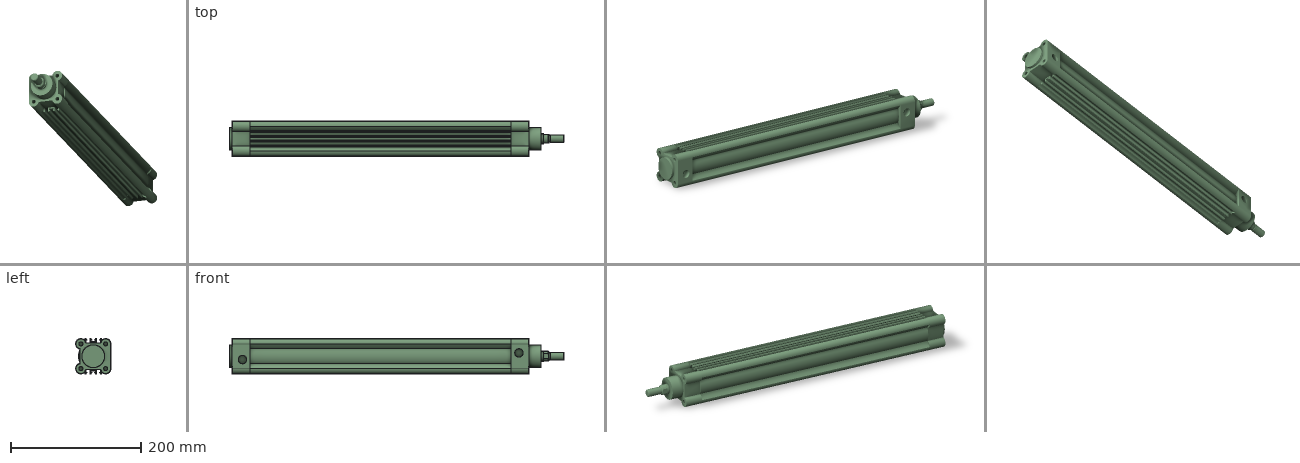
import cadquery as cq
import math


total_length = 513.0
rear_collar_length = 4.0
cap_length = 27.5
barrel_length = 399.5
front_collar_length = 18.5
rod_shoulder_length = 3.5
rod_flat_length = 7.0
rod_taper_length = 1.5
thread_relief_length = 2.0

rear_cap_start = rear_collar_length
barrel_start = rear_cap_start + cap_length
front_cap_start = barrel_start + barrel_length
front_cap_end = front_cap_start + cap_length
rod_start = front_cap_end + front_collar_length
rod_flat_start = rod_start + rod_shoulder_length
rod_flat_end = rod_flat_start + rod_flat_length
rod_taper_end = rod_flat_end + rod_taper_length
thread_start = rod_taper_end + thread_relief_length

body_width = 54.0
half_width = body_width / 2
screw_offset = 19.0
lobe_radius = half_width - screw_offset
recess_offset = 20.5
collar_diameter = 35.0
screw_hole_diameter = 6.0
screw_hole_depth = 15.5

port_diameter = 13.0
port_depth = 13.0
rear_port_inset = 16.0
front_port_inset = 15.5
port_height = 5.0

barrel_radius = 22.5
slot_floor_height = 19.5
ribs_per_half = 2
rib_pitch = 7.5
rib_outer = 5.0
rib_inner = 3.5
rib_barb_tip = 2.0
rib_barb_height = 25.0
rib_neck_height = 24.0

rod_diameter = 16.0
wrench_diameter = 15.5
rod_across_flats = 13.5
thread_diameter = 12.0
thread_relief_diameter = 11.0
thread_chamfer = 1.0

corners = [(y, z) for y in (-screw_offset, screw_offset) for z in (-screw_offset, screw_offset)]


def plane_at(x):
    """Cross-section plane at x: its local axes are Y and Z, and it faces +X."""
    return cq.Workplane("YZ", origin=(x, 0, 0))


def cap_block(start):
    """Square cap with round corner lobes, recessed between the lobes on every side except -Y."""
    lobes = plane_at(start).pushPoints(corners).circle(lobe_radius).extrude(cap_length)
    core = plane_at(start).rect(2 * recess_offset, 2 * recess_offset).extrude(cap_length)
    port_side = (
        plane_at(start)
        .center(-(half_width + screw_offset) / 2, 0)
        .rect(lobe_radius, 2 * screw_offset)
        .extrude(cap_length)
    )
    return core.union(lobes).union(port_side)


def drill_screw_holes(cap, outer_face_x, inward):
    """Cut the four blind fastening holes; inward is +1 or -1 along X."""
    holes = (
        plane_at(outer_face_x)
        .pushPoints(corners)
        .circle(screw_hole_diameter / 2)
        .extrude(inward * screw_hole_depth)
    )
    return cap.cut(holes)


def drill_port(cap, x, z):
    """Cut a blind air port into the -Y side."""
    port = (
        cq.Workplane("XZ", origin=(x, -half_width, z))
        .circle(port_diameter / 2)
        .extrude(-port_depth)
    )
    return cap.cut(port)


def make_rear_cap():
    cap = cap_block(rear_cap_start)
    collar = plane_at(0).circle(collar_diameter / 2).extrude(rear_collar_length)
    cap = drill_screw_holes(cap.union(collar), rear_cap_start, 1)
    return drill_port(cap, rear_cap_start + rear_port_inset, -port_height)


def make_front_cap():
    cap = cap_block(front_cap_start)
    collar = plane_at(front_cap_end).circle(collar_diameter / 2).extrude(front_collar_length)
    cap = drill_screw_holes(cap.union(collar), front_cap_end, -1)
    return drill_port(cap, front_cap_end - front_port_inset, port_height)


def corner_rail():
    """Rail at the +Y +Z corner: rounded outside, with 45 degree flanks running in to the barrel."""
    arc_middle = screw_offset + lobe_radius * math.sqrt(0.5)
    return (
        plane_at(barrel_start)
        .moveTo(lobe_radius, 0)
        .lineTo(screw_offset + lobe_radius, screw_offset)
        .threePointArc((arc_middle, arc_middle), (screw_offset, half_width))
        .lineTo(0, lobe_radius)
        .close()
        .extrude(barrel_length)
    )


def sensor_rib(index):
    """Thin rib on the +Y half of the top, with a barb pointing towards the middle."""
    shift = index * rib_pitch
    return (
        plane_at(barrel_start)
        .moveTo(shift + rib_outer, 0)
        .lineTo(shift + rib_outer, half_width)
        .lineTo(shift + rib_inner, half_width)
        .lineTo(shift + rib_barb_tip, rib_barb_height)
        .lineTo(shift + rib_inner, rib_neck_height)
        .lineTo(shift + rib_inner, 0)
        .close()
        .extrude(barrel_length)
    )


def sensor_slot():
    """Flat-floored slot between the two ribs on the +Y half of the top."""
    return (
        plane_at(barrel_start)
        .moveTo(rib_outer, slot_floor_height)
        .lineTo(rib_outer, half_width)
        .lineTo(rib_pitch + rib_barb_tip, half_width)
        .lineTo(rib_pitch + rib_inner, slot_floor_height)
        .close()
        .extrude(barrel_length)
    )


def in_four_quarters(shape):
    """The shape and its mirror images across the XY and XZ planes."""
    half = shape.union(shape.mirror("XZ"))
    return half.union(half.mirror("XY"))


def make_barrel():
    barrel = plane_at(barrel_start).circle(barrel_radius).extrude(barrel_length)
    barrel = barrel.cut(in_four_quarters(sensor_slot()))
    barrel = barrel.union(in_four_quarters(corner_rail()))
    for index in range(ribs_per_half):
        barrel = barrel.union(in_four_quarters(sensor_rib(index)))
    return barrel


def make_rod():
    """Stepped rod: round shoulder, wrench flats facing -Y and +Y, taper, thread relief, threaded end."""
    rod_radius = rod_diameter / 2
    wrench_radius = wrench_diameter / 2
    relief_radius = thread_relief_diameter / 2
    thread_radius = thread_diameter / 2
    rod = (
        cq.Workplane("XY")
        .moveTo(rod_start, 0)
        .lineTo(rod_start, rod_radius)
        .lineTo(rod_flat_start, rod_radius)
        .lineTo(rod_flat_start, wrench_radius)
        .lineTo(rod_flat_end, wrench_radius)
        .lineTo(rod_taper_end, thread_radius)
        .lineTo(rod_taper_end, relief_radius)
        .lineTo(thread_start, relief_radius)
        .lineTo(thread_start, thread_radius)
        .lineTo(total_length - thread_chamfer, thread_radius)
        .lineTo(total_length, thread_radius - thread_chamfer)
        .lineTo(total_length, 0)
        .close()
        .revolve(360, (0, 0, 0), (1, 0, 0))
    )
    flats_length = rod_taper_end - rod_flat_start
    around_flats = plane_at(rod_flat_start).circle(rod_diameter).extrude(flats_length)
    between_flats = plane_at(rod_flat_start).rect(rod_across_flats, 2 * rod_diameter).extrude(flats_length)
    return rod.cut(around_flats.cut(between_flats))


rear_cap = make_rear_cap()
barrel = make_barrel()
front_cap = make_front_cap()
rod = make_rod()

result = cq.Compound.makeCompound([rear_cap.val(), barrel.val(), front_cap.val(), rod.val()])